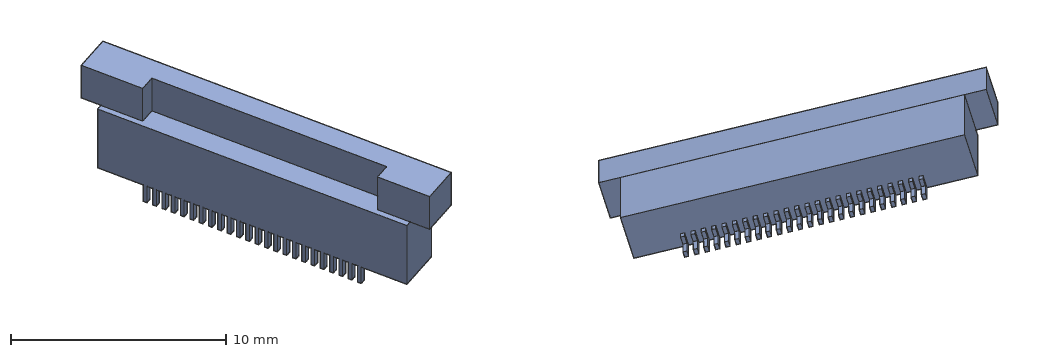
import cadquery as cq

housing_length = 16.6
housing_depth = 2.3
housing_height = 3.6

slider_length = 18.7
slider_depth = 2.0
slider_height = 2.0
slider_left_end = 3.3
slider_right_end = 2.8
slider_wall = 1.15

tail_count = 24
tail_pitch = 0.5
tail_width = 0.2
tail_thickness = 0.3
tail_foot_depth = 0.7
tail_drop = 1.0


def block(length, depth, height):
    """Block centred on X, running from Y = 0 towards +Y and up from Z = 0."""
    return cq.Workplane("XY").box(length, depth, height, centered=(True, False, False))


def make_tail(x_center):
    """One contact tail: a foot under the housing and a leg flush with its front face."""
    return (
        cq.Workplane("YZ")
        .moveTo(0, 0)
        .lineTo(tail_foot_depth, 0)
        .lineTo(tail_foot_depth, -tail_thickness)
        .lineTo(tail_thickness, -tail_thickness)
        .lineTo(tail_thickness, -tail_drop)
        .lineTo(0, -tail_drop)
        .close()
        .extrude(tail_width / 2, both=True)
        .translate((x_center, 0, 0))
    )


def make_housing():
    """Housing block with its row of contact tails, as one solid."""
    housing = block(housing_length, housing_depth, housing_height)
    first_tail_x = -(tail_count - 1) * tail_pitch / 2
    for index in range(tail_count):
        housing = housing.union(make_tail(first_tail_x + index * tail_pitch))
    return housing


def make_slider():
    """Slider bar with a wide recess in its front face, open at top and bottom."""
    recess_depth = slider_depth - slider_wall
    recess_length = slider_length - slider_left_end - slider_right_end
    recess_x_center = (slider_left_end - slider_right_end) / 2
    recess = block(recess_length, recess_depth, slider_height).translate((recess_x_center, 0, 0))
    bar = block(slider_length, slider_depth, slider_height).cut(recess)
    return bar.translate((0, housing_depth - slider_depth, housing_height))


housing = make_housing()
slider = make_slider()

result = cq.Compound.makeCompound([housing.solids().val(), slider.solids().val()])